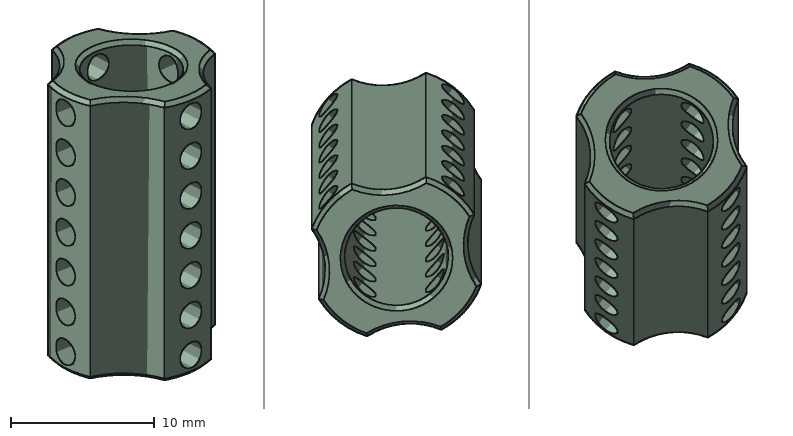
import cadquery as cq
import math

length = 21.88
outer_diameter = 12.5
bore_diameter = 7.2
edge_chamfer = 0.3

lobe_count = 4
lobe_width = 4.38
flute_floor_radius = 5.0

hole_diameter = 2.0
holes_per_row = 7
hole_pitch = length / holes_per_row

outer_radius = outer_diameter / 2

lobe_half_angle = math.asin(lobe_width / 2 / outer_radius)
flute_half_angle = math.pi / lobe_count - lobe_half_angle
flute_half_width = outer_radius * math.sin(flute_half_angle)
flute_depth = outer_radius * math.cos(flute_half_angle) - flute_floor_radius
flute_radius = (flute_half_width**2 + flute_depth**2) / (2 * flute_depth)
flute_center_distance = flute_floor_radius + flute_radius


def fluted_body():
    """Round bar with concave flutes along its full length."""
    bar = cq.Workplane("XY").circle(outer_radius).extrude(length)
    flutes = (
        cq.Workplane("XY")
        .polarArray(flute_center_distance, 180 / lobe_count, 360, lobe_count)
        .circle(flute_radius)
        .extrude(length)
    )
    return bar.cut(flutes)


def cross_holes(plane):
    """Row of holes running right through the part, normal to the given plane."""
    hole_heights = [(0, (i + 0.5) * hole_pitch) for i in range(holes_per_row)]
    return (
        cq.Workplane(plane)
        .pushPoints(hole_heights)
        .circle(hole_diameter / 2)
        .extrude(outer_diameter, both=True)
    )


bore = cq.Workplane("XY").circle(bore_diameter / 2).extrude(length)
bored_body = fluted_body().cut(bore)
chamfered_body = bored_body.faces("<Z or >Z").edges().chamfer(edge_chamfer)

result = chamfered_body.cut(cross_holes("XZ")).cut(cross_holes("YZ"))